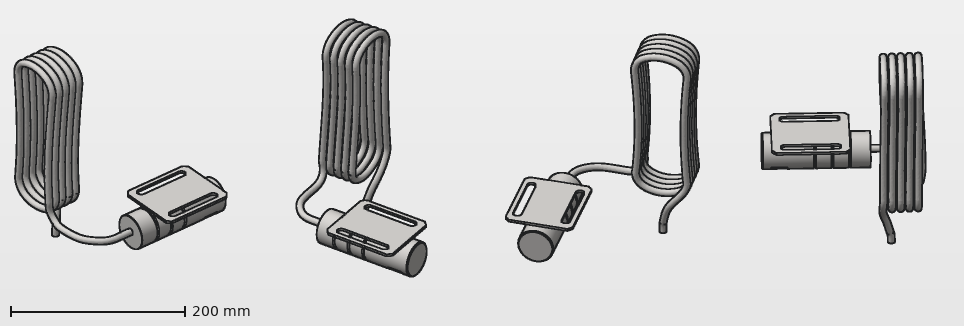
import cadquery as cq
import math

housing_diameter = 42.5
housing_radius = housing_diameter / 2
housing_length = 125.0
cable_end_chamfer = 0.5
sensing_end_chamfer = 1.3
groove_pitch = 20.0
groove_count = 3
first_groove_y = 24.0
groove_width = 3.0
groove_depth = 1.5
label_width = 36.2
label_length = 19.5
label_center_y = 105.2
label_corner_radius = 2.0
label_depth = 0.3

plate_width = 80.0
plate_length = 90.1
plate_thickness = 3.0
plate_start_y = 24.0
plate_center_y = plate_start_y + plate_length / 2
plate_corner_chamfer = 5.0
slot_spacing = 57.8
slot_length = 69.8
slot_width = 10.3

cable_diameter = 8.5
cable_exit_z = 1.0
cable_exit_length = 19.5
lead_drop_y = -55.2
lead_drop_z = -1.5

turn_count = 5
turn_pitch = 10.0
coil_center_x = -110.5
coil_center_z = 97.5
side_half_width = 31.5
side_half_height = 71.3
waist_half_width = 27.9
loop_half_height = 96.2
corner_radius = 20.3
last_top_y = -11.8
right_column_drift = 5.0
left_column_drift = 1.3
coil_axis_slope = 0.03
coil_middle_y = last_top_y - (turn_count - 1) * turn_pitch / 2

waist_sag = side_half_width - waist_half_width
side_lean = 2 * math.atan(waist_sag / side_half_height)
side_radius = side_half_height / math.sin(side_lean)
side_arc_offset = waist_half_width + side_radius
corner_x = side_half_width - corner_radius * math.cos(side_lean)
corner_z = side_half_height + corner_radius * math.sin(side_lean)
corner_drop = loop_half_height - corner_z
cap_radius = (corner_x**2 + corner_drop**2 - corner_radius**2) / (2 * (corner_drop - corner_radius))
cap_z = loop_half_height - cap_radius
cap_angle = math.atan2(corner_z - cap_z, corner_x)

arc_samples = 6


def make_housing():
    body = cq.Workplane("XZ").circle(housing_radius).extrude(-housing_length)
    body = body.faces("<Y").chamfer(cable_end_chamfer)
    body = body.faces(">Y").chamfer(sensing_end_chamfer)
    for index in range(groove_count):
        body = body.cut(make_groove(first_groove_y + index * groove_pitch))
    return body.cut(make_label_recess())


def make_groove(center_y):
    """V-shaped ring around the housing, its tip pointing at the axis."""
    profile = [
        (housing_radius - groove_depth, center_y),
        (housing_radius, center_y - groove_width / 2),
        (housing_radius, center_y + groove_width / 2),
    ]
    return cq.Workplane("XY").polyline(profile).close().revolve(360, (0, 0, 0), (0, 1, 0))


def make_label_recess():
    """Shallow rounded rectangle wrapped around the underside of the housing."""
    window = (
        cq.Workplane("XY")
        .center(0, label_center_y)
        .rect(label_width, label_length)
        .extrude(-housing_diameter)
        .edges("|Z")
        .fillet(label_corner_radius)
    )
    core = cq.Workplane("XZ").circle(housing_radius - label_depth).extrude(-housing_length)
    return window.cut(core)


def make_plate():
    plate = (
        cq.Workplane("XY", origin=(0, plate_center_y, housing_radius))
        .rect(plate_width, plate_length)
        .extrude(plate_thickness)
        .edges("|Z")
        .chamfer(plate_corner_chamfer)
    )
    slots = (
        cq.Workplane("XY", origin=(0, plate_center_y, housing_radius))
        .rarray(slot_spacing, 2.5, 2, 1)
        .slot2D(slot_length, slot_width, 90)
        .extrude(plate_thickness)
    )
    return plate.cut(slots)


def spline(points, start_direction, end_direction):
    tangents = [cq.Vector(*start_direction), cq.Vector(*end_direction)]
    return cq.Edge.makeSpline([cq.Vector(*p) for p in points], tangents=tangents)


def coil_axis_x(y):
    """The coil axis runs slightly askew of Y, so the front turns sit a little further along X."""
    return coil_center_x - coil_axis_slope * (y - coil_middle_y)


def loop_arc(center_x, center_z, radius, start_angle, end_angle, start_y, end_y):
    """Arc about a point given from the coil center, easing from one Y to the other."""
    points = []
    for index in range(arc_samples + 1):
        step = index / arc_samples
        angle = start_angle + step * (end_angle - start_angle)
        ease = step * step * (3 - 2 * step)
        y = start_y + ease * (end_y - start_y)
        x = coil_axis_x(y) + center_x + radius * math.cos(angle)
        z = coil_center_z + center_z + radius * math.sin(angle)
        points.append((x, y, z))
    turn = math.copysign(1, end_angle - start_angle)
    directions = [
        (-turn * math.sin(angle), 0, turn * math.cos(angle)) for angle in (start_angle, end_angle)
    ]
    return spline(points, *directions)


def make_turn_path(top_y):
    """Right column up, over the top and left column down."""
    start_y = top_y - right_column_drift
    end_y = top_y + left_column_drift
    half_turn = math.pi
    right_foot = half_turn + side_lean
    right_head = half_turn - side_lean
    left_cap_end = half_turn - cap_angle
    return [
        loop_arc(side_arc_offset, 0, side_radius, right_foot, right_head, start_y, top_y),
        loop_arc(corner_x, corner_z, corner_radius, -side_lean, cap_angle, top_y, top_y),
        loop_arc(0, cap_z, cap_radius, cap_angle, left_cap_end, top_y, top_y),
        loop_arc(-corner_x, corner_z, corner_radius, left_cap_end, half_turn + side_lean, top_y, top_y),
        loop_arc(-side_arc_offset, 0, side_radius, side_lean, -side_lean, top_y, end_y),
    ]


def make_bottom_path(start_y, end_y):
    """From the foot of a left column around the bottom to the foot of the next right column."""
    side = math.pi - side_lean
    cap_start = math.pi + cap_angle
    cap_end = 2 * math.pi - cap_angle
    cap_end_y = (start_y + end_y) / 2
    return [
        loop_arc(-corner_x, -corner_z, corner_radius, side, cap_start, start_y, start_y),
        loop_arc(0, -cap_z, cap_radius, cap_start, cap_end, start_y, cap_end_y),
        loop_arc(corner_x, -corner_z, corner_radius, -cap_angle, side_lean, cap_end_y, end_y),
    ]


def make_lead_path(end_y):
    """From the housing to the foot of the first right column."""
    exit_point = (0, 0, cable_exit_z)
    exit_end = (0, -cable_exit_length, cable_exit_z)
    sweep_end = (-33.0, -53.7, -0.5)
    level_end = (-57.8, lead_drop_y, lead_drop_z)
    column_foot = (coil_axis_x(end_y) + side_half_width, end_y, coil_center_z - side_half_height)
    rise_end = (-78.8, -56.2, 17.5)
    rise_direction = (0, -0.1, 1)
    sweep_direction = (-1, -0.15, -0.05)
    return [
        cq.Edge.makeLine(cq.Vector(*exit_point), cq.Vector(*exit_end)),
        spline([exit_end, (-12.3, -44.2, 0.8), sweep_end], (0, -1, 0), sweep_direction),
        spline([sweep_end, level_end], sweep_direction, (-1, 0, 0)),
        spline([level_end, (-73.0, -54.7, 4.0), rise_end], (-1, 0, 0), rise_direction),
        spline([rise_end, column_foot], rise_direction, (-math.sin(side_lean), 0, math.cos(side_lean))),
    ]


def make_tail_path(start_y):
    """From the foot of the last left column to the free end of the cable."""
    column_foot = (coil_axis_x(start_y) - side_half_width, start_y, coil_center_z - side_half_height)
    points = [
        column_foot,
        (-139.0, -10.3, 13.5),
        (-122.3, -11.5, -9.3),
        (-115.5, -15.5, -24.4),
        (-112.0, -19.0, -39.0),
        (-111.2, -20.5, -53.2),
    ]
    start_direction = (-math.sin(side_lean), 0, -math.cos(side_lean))
    end_direction = (0, 0, -1)
    return [spline(points, start_direction, end_direction)]


def make_cable():
    first_top_y = last_top_y - (turn_count - 1) * turn_pitch
    edges = make_lead_path(first_top_y - right_column_drift)
    for index in range(turn_count):
        top_y = first_top_y + index * turn_pitch
        edges += make_turn_path(top_y)
        if index < turn_count - 1:
            next_foot_y = top_y + turn_pitch - right_column_drift
            edges += make_bottom_path(top_y + left_column_drift, next_foot_y)
    edges += make_tail_path(last_top_y + left_column_drift)
    path = cq.Wire.assembleEdges(edges)
    section = cq.Workplane("XZ", origin=(0, 0, cable_exit_z)).circle(cable_diameter / 2)
    return section.sweep(cq.Workplane("XY").add(path))


housing = make_housing()
plate = make_plate()
cable = make_cable()
result = cq.Compound.makeCompound([housing.val(), plate.val(), cable.val()])